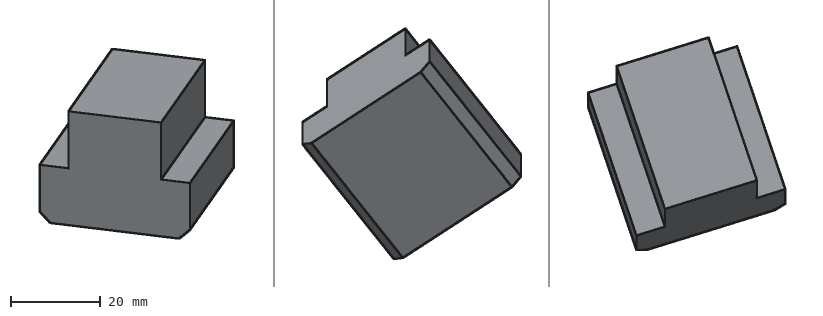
import cadquery as cq

width = 35.0
length = 35.0
height = 28.0

flange_height = height / 2
stem_width = 21.6
chamfer_size = 2.5

flange = (
    cq.Workplane("XY")
    .box(width, length, flange_height, centered=(True, True, False))
    .edges("|Y and <Z")
    .chamfer(chamfer_size)
)

stem = (
    cq.Workplane("XY")
    .workplane(offset=flange_height)
    .box(stem_width, length, height - flange_height, centered=(True, True, False))
)

result = flange.union(stem)